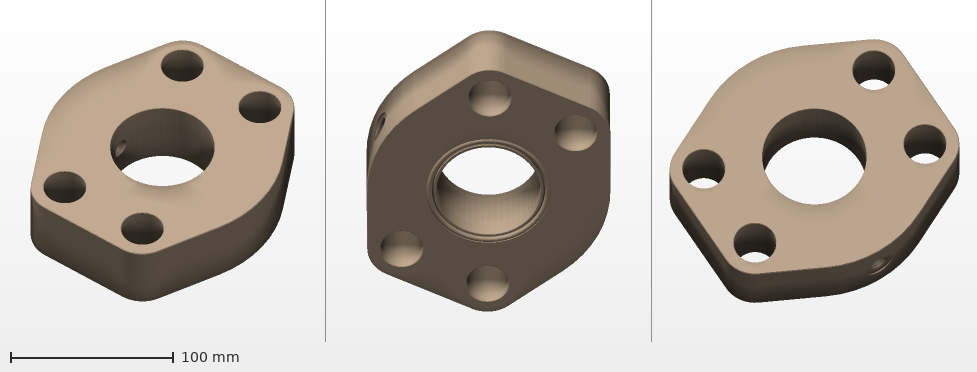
import cadquery as cq
import math

LENGTH = 166.0
WIDTH = 150.0
THICKNESS = 44.2
EDGE_CHAMFER = 0.5

BOLT_SPACING_X = 58.8
BOLT_SPACING_Y = 123.8
BOLT_DIAMETER = 26.0
BOLT_CHAMFER = 0.42

BORE_DIAMETER = 64.0
BORE_CHAMFER = 0.3

PORT_DIAMETER = 11.5
PORT_MOUTH_DIAMETER = 13.1
SPOTFACE_DIAMETER = 19.0
SPOTFACE_DEPTH = 1.0

GROOVE_OUTER_DIAMETER = 76.5
GROOVE_INNER_DIAMETER = 67.5
RING_SECTION_DIAMETER = 3.5
RING_PROTRUSION = 0.5

FLANK_RADIUS = WIDTH / 2
CORNER_X = BOLT_SPACING_X / 2
CORNER_Y = BOLT_SPACING_Y / 2
CORNER_RADIUS = LENGTH / 2 - CORNER_Y
GROOVE_DEPTH = RING_SECTION_DIAMETER - RING_PROTRUSION
RING_CENTRE_RADIUS = (GROOVE_OUTER_DIAMETER - RING_SECTION_DIAMETER) / 2


def plate_blank():
    """Plate with round flanks, joined to the rounded corners by tangent lines."""
    centre_distance = math.hypot(CORNER_X, CORNER_Y)
    normal = math.atan2(CORNER_Y, CORNER_X) - math.acos((FLANK_RADIUS - CORNER_RADIUS) / centre_distance)
    flank_x = FLANK_RADIUS * math.cos(normal)
    flank_y = FLANK_RADIUS * math.sin(normal)
    tangent_x = CORNER_X + CORNER_RADIUS * math.cos(normal)
    tangent_y = CORNER_Y + CORNER_RADIUS * math.sin(normal)
    middle = (normal + math.pi / 2) / 2
    middle_x = CORNER_X + CORNER_RADIUS * math.cos(middle)
    middle_y = CORNER_Y + CORNER_RADIUS * math.sin(middle)
    end_y = LENGTH / 2
    outline = (
        cq.Workplane("XY")
        .moveTo(flank_x, -flank_y)
        .threePointArc((FLANK_RADIUS, 0), (flank_x, flank_y))
        .lineTo(tangent_x, tangent_y)
        .threePointArc((middle_x, middle_y), (CORNER_X, end_y))
        .lineTo(-CORNER_X, end_y)
        .threePointArc((-middle_x, middle_y), (-tangent_x, tangent_y))
        .lineTo(-flank_x, flank_y)
        .threePointArc((-FLANK_RADIUS, 0), (-flank_x, -flank_y))
        .lineTo(-tangent_x, -tangent_y)
        .threePointArc((-middle_x, -middle_y), (-CORNER_X, -end_y))
        .lineTo(CORNER_X, -end_y)
        .threePointArc((middle_x, -middle_y), (tangent_x, -tangent_y))
        .close()
    )
    return outline.extrude(THICKNESS).faces("<Z or >Z").edges().chamfer(EDGE_CHAMFER)


def chamfered_hole(diameter, chamfer):
    """Cutter on the Z axis for a through hole, chamfered at both mouths."""
    radius = diameter / 2
    mouth_radius = radius + chamfer
    profile = [
        (0, 0),
        (mouth_radius, 0),
        (radius, chamfer),
        (radius, THICKNESS - chamfer),
        (mouth_radius, THICKNESS),
        (0, THICKNESS),
    ]
    return cq.Workplane("XZ").polyline(profile).close().revolve(360, (0, 0), (0, 1))


def side_port():
    """Cutter for the port: spotface, chamfered mouth and a drilling to the bore axis."""
    seat_x = -FLANK_RADIUS + SPOTFACE_DEPTH
    radius = PORT_DIAMETER / 2
    mouth_radius = PORT_MOUTH_DIAMETER / 2
    spotface_radius = SPOTFACE_DIAMETER / 2
    profile = [
        (0, 0),
        (0, radius),
        (seat_x + mouth_radius - radius, radius),
        (seat_x, mouth_radius),
        (seat_x, spotface_radius),
        (-FLANK_RADIUS, spotface_radius),
        (-FLANK_RADIUS, 0),
    ]
    cutter = cq.Workplane("XZ").polyline(profile).close().revolve(360, (0, 0), (1, 0))
    return cutter.translate((0, 0, THICKNESS / 2))


def ring_groove():
    """Cutter for the annular groove in the sealing face."""
    return (
        cq.Workplane("XY")
        .circle(GROOVE_OUTER_DIAMETER / 2)
        .circle(GROOVE_INNER_DIAMETER / 2)
        .extrude(GROOVE_DEPTH)
    )


def make_flange():
    flange = plate_blank().cut(chamfered_hole(BORE_DIAMETER, BORE_CHAMFER))
    bolt_hole = chamfered_hole(BOLT_DIAMETER, BOLT_CHAMFER)
    for x in (-CORNER_X, CORNER_X):
        for y in (-CORNER_Y, CORNER_Y):
            flange = flange.cut(bolt_hole.translate((x, y, 0)))
    return flange.cut(side_port()).cut(ring_groove())


def make_seal_ring():
    """Round-section ring seated on the groove floor and against its outer wall."""
    section_radius = RING_SECTION_DIAMETER / 2
    return (
        cq.Workplane("XZ")
        .center(RING_CENTRE_RADIUS, GROOVE_DEPTH - section_radius)
        .circle(section_radius)
        .revolve(360, (-RING_CENTRE_RADIUS, 0), (-RING_CENTRE_RADIUS, 1))
    )


flange = make_flange()
seal_ring = make_seal_ring()
result = cq.Compound.makeCompound([flange.val(), seal_ring.val()])